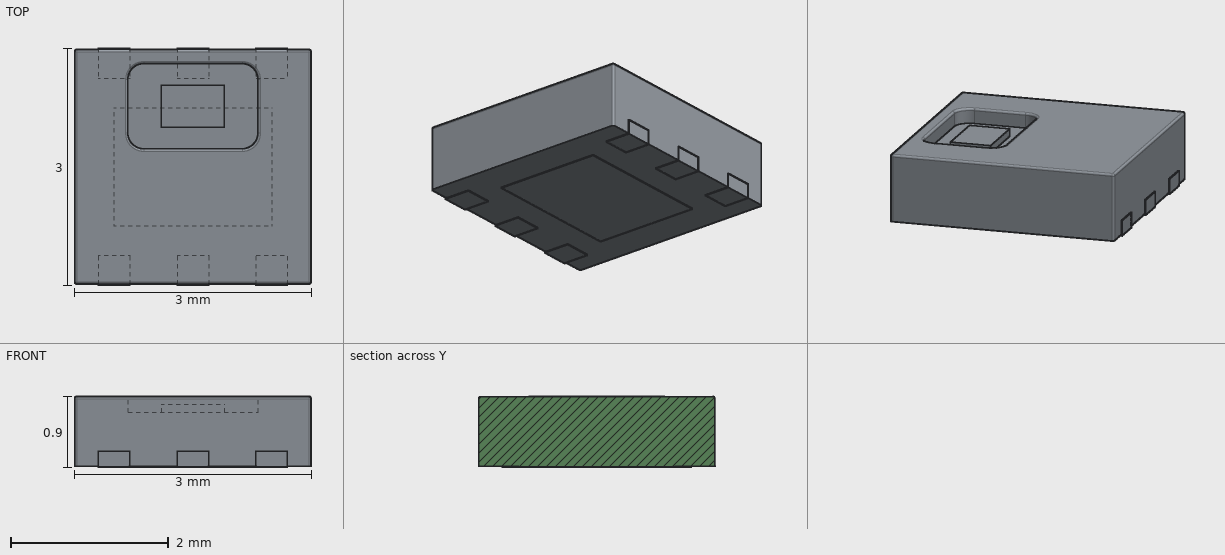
import cadquery as cq

overall_length = 3.0
overall_width = 3.0
overall_height = 0.9
pad_protrusion = 0.012
body_width = overall_width - 2 * pad_protrusion
body_height = overall_height - pad_protrusion
edge_radius = 0.03

window_length = 1.65
window_width = 1.08
window_depth = 0.2
window_floor_z = overall_height - window_depth
window_corner_radius = 0.2
window_rim_radius = 0.03
window_center_y = 0.768

die_length = 0.8
die_width = 0.535
die_height = 0.1

pads_per_side = 3
pad_pitch = overall_length / 3
pad_length = 0.4
pad_reach = 0.375
pad_height = 0.2

center_pad_length = 2.0
center_pad_width = 1.5


def make_body():
    """Block with rounded upright and top edges, resting on the pad plane."""
    block = cq.Workplane("XY").workplane(offset=pad_protrusion).box(
        overall_length, body_width, body_height, centered=(True, True, False)
    )
    return block.edges("|Z or >Z").fillet(edge_radius)


def cut_window(body):
    """Rounded rectangular recess with a rounded rim."""
    cutter = (
        cq.Workplane("XY", origin=(0, window_center_y, window_floor_z))
        .rect(window_length, window_width)
        .extrude(window_depth)
        .edges("|Z")
        .fillet(window_corner_radius)
    )
    reach_x = window_length / 2 + window_rim_radius
    reach_y = window_width / 2 + window_rim_radius
    mouth = cq.selectors.BoxSelector(
        (-reach_x, window_center_y - reach_y, overall_height - window_rim_radius),
        (reach_x, window_center_y + reach_y, overall_height + window_rim_radius),
    )
    return body.cut(cutter).edges(mouth).fillet(window_rim_radius)


def make_die():
    """Rectangular die standing on the window floor."""
    return cq.Workplane("XY", origin=(0, window_center_y, window_floor_z)).box(
        die_length, die_width, die_height, centered=(True, True, False)
    )


def make_terminals():
    """Row of terminals along each Y side, slightly proud of the body."""
    center_y = (overall_width - pad_reach) / 2
    centers = []
    for index in range(pads_per_side):
        x = (index - (pads_per_side - 1) / 2) * pad_pitch
        centers += [(x, -center_y), (x, center_y)]
    return cq.Workplane("XY").pushPoints(centers).rect(pad_length, pad_reach).extrude(pad_height)


def make_center_pad():
    """Thin pad below the body, sunk into it by its own protrusion."""
    return cq.Workplane("XY").rect(center_pad_length, center_pad_width).extrude(2 * pad_protrusion)


result = (
    cut_window(make_body())
    .union(make_die())
    .union(make_terminals())
    .union(make_center_pad())
)